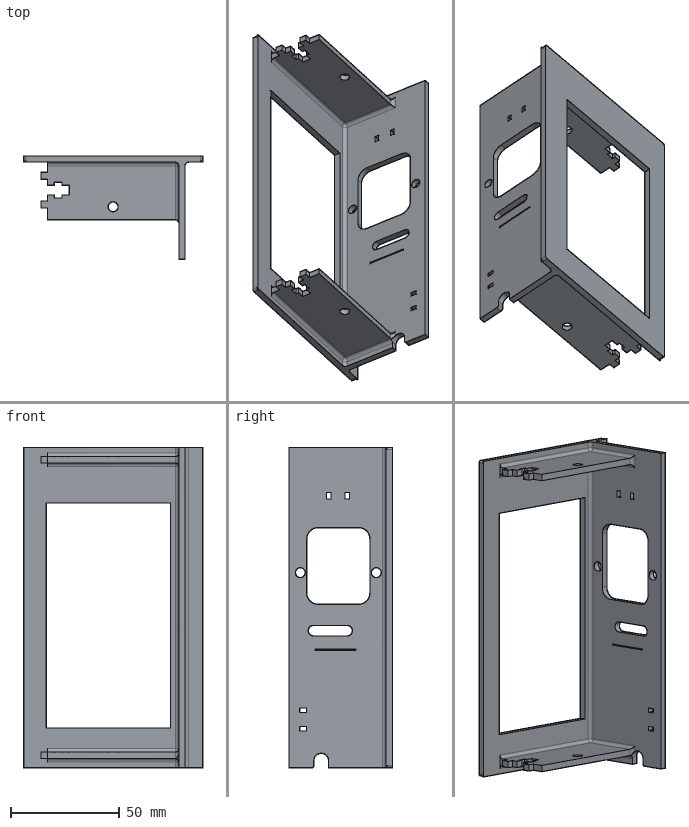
import cadquery as cq

width = 82.6
depth = 47.7
height = 147.8

plate_thickness = 3.0
plate_lip_thickness = 0.5
plate_corner_radius = 1.0
opening_left = 10.5
opening_width = 57.2
opening_bottom = 18.5
opening_height = 103.6

web_left = 71.5
web_thickness = 3.0
root_fillet = 1.6

shelf_left = 11.0
shelf_depth = 29.5
shelf_thickness = 3.0
shelf_inset = 4.3
shelf_hole = (41.2, 23.5)
hole_diameter = 4.5

tab_length = 3.0
tab_width = 3.4
tab_pitch = 13.3
slot_centre = 15.8
slot_length = 10.0
slot_width = 4.3
key_start = 3.3
key_length = 3.4
key_width = 7.2

window_centre = (25.0, 93.1)
window_size = (29.0, 35.2)
window_radius = 5.0
screw_pitch = 35.0
screw_height = 90.0
cable_slot_centre = (28.7, 63.3)
cable_slot_length = 20.2
cable_slot_width = 4.7
slit_centre = (26.3, 54.5)
slit_length = 18.6
slit_width = 0.5
tie_hole_short = 1.9
tie_hole_long = 3.0
tie_hole_pitch = 8.5
upper_tie_centre = (25.1, 125.5)
lower_tie_centre = (41.2, 22.3)

notch_width = 6.7
notch_height = 6.7
notch_top_radius = 3.3
notch_lip_radius = 1.0

cut_reach = root_fillet + 1.5
cut_length = web_thickness + 2 * cut_reach


def box(x, y, z, x_size, y_size, z_size):
    """Box from its left, back-most and lowest corner; y is the distance forward of the back face."""
    return cq.Workplane("XY").box(x_size, y_size, z_size, centered=False).translate((x, -y - y_size, z))


def make_plate():
    """Plate with rounded corners at the back and a thin square-cornered layer in front."""
    back_thickness = plate_thickness - plate_lip_thickness
    back = box(0, 0, 0, width, back_thickness, height).edges("|Y").fillet(plate_corner_radius)
    front = box(0, back_thickness, 0, width, plate_lip_thickness, height)
    return back.union(front)


def make_web():
    return box(web_left, 0, 0, web_thickness, depth, height)


def make_shelf(bottom):
    return box(shelf_left, 0, bottom, web_left - shelf_left, shelf_depth, shelf_thickness)


def fillet_roots(body):
    """Round every inside corner between the plate, the web and the shelves."""
    gap = 0.01
    plate_roots = cq.selectors.BoxSelector(
        (shelf_left + gap, -plate_thickness - gap, gap),
        (web_left + web_thickness + gap, -plate_thickness + gap, height - gap),
    )
    web_roots = cq.selectors.BoxSelector(
        (web_left - gap, -shelf_depth - gap, gap),
        (web_left + gap, -plate_thickness + gap, height - gap),
    )
    return body.edges(plate_roots + web_roots).fillet(root_fillet)


def make_tabs(bottom):
    tabs = cq.Workplane("XY")
    for side in (-0.5, 0.5):
        tab_back = slot_centre + side * tab_pitch - tab_width / 2
        tab = box(shelf_left - tab_length, tab_back, bottom, tab_length, tab_width, shelf_thickness)
        tabs = tabs.union(tab)
    return tabs


def make_shelf_cutter(bottom):
    slot = box(shelf_left, slot_centre - slot_width / 2, bottom, slot_length, slot_width, shelf_thickness)
    key = box(shelf_left + key_start, slot_centre - key_width / 2, bottom, key_length, key_width, shelf_thickness)
    hole = (
        cq.Workplane("XY", origin=(shelf_hole[0], -shelf_hole[1], bottom))
        .circle(hole_diameter / 2)
        .extrude(shelf_thickness)
    )
    return slot.union(key).union(hole)


def web_plane(centre):
    """Plane left of the web and its fillets; local x points to the back, local y points up."""
    return cq.Workplane("YZ", origin=(web_left - cut_reach, -centre[0], centre[1]))


def make_web_cutter():
    window = web_plane(window_centre).rect(*window_size).extrude(cut_length)
    window = window.edges("|X").fillet(window_radius)
    screws = (
        web_plane((window_centre[0], screw_height))
        .pushPoints([(-screw_pitch / 2, 0), (screw_pitch / 2, 0)])
        .circle(hole_diameter / 2)
        .extrude(cut_length)
    )
    cable_slot = web_plane(cable_slot_centre).slot2D(cable_slot_length, cable_slot_width).extrude(cut_length)
    slit = web_plane(slit_centre).rect(slit_length, slit_width).extrude(cut_length)
    upper_ties = (
        web_plane(upper_tie_centre)
        .pushPoints([(-tie_hole_pitch / 2, 0), (tie_hole_pitch / 2, 0)])
        .rect(tie_hole_short, tie_hole_long)
        .extrude(cut_length)
    )
    lower_ties = (
        web_plane(lower_tie_centre)
        .pushPoints([(0, -tie_hole_pitch / 2), (0, tie_hole_pitch / 2)])
        .rect(tie_hole_long, tie_hole_short)
        .extrude(cut_length)
    )
    return window.union(screws).union(cable_slot).union(slit).union(upper_ties).union(lower_ties)


def make_notch_cutter():
    """Arched notch starting flush with the shelf front, its far lower corner rounded over."""
    straight = notch_height - notch_top_radius
    return (
        web_plane((shelf_depth, 0))
        .lineTo(0, straight)
        .tangentArcPoint((-notch_top_radius, notch_height), relative=False)
        .lineTo(notch_top_radius - notch_width, notch_height)
        .tangentArcPoint((-notch_width, straight), relative=False)
        .lineTo(-notch_width, notch_lip_radius)
        .tangentArcPoint((-notch_width - notch_lip_radius, 0), relative=False)
        .close()
        .extrude(cut_length)
    )


shelf_bottoms = (shelf_inset, height - shelf_inset - shelf_thickness)

body = make_plate().union(make_web())
for bottom in shelf_bottoms:
    body = body.union(make_shelf(bottom))
body = fillet_roots(body)

for bottom in shelf_bottoms:
    body = body.union(make_tabs(bottom)).cut(make_shelf_cutter(bottom))

opening = box(opening_left, 0, opening_bottom, opening_width, plate_thickness, opening_height)
result = body.cut(opening).cut(make_web_cutter()).cut(make_notch_cutter())